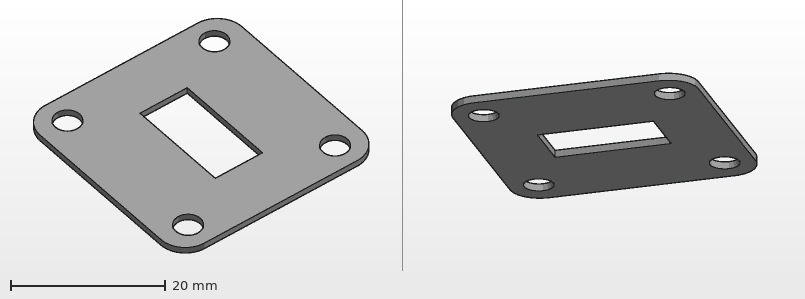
import cadquery as cq

plate_side = 33.3
plate_thickness = 1.0
corner_radius = 4.05

hole_diameter = 4.0
hole_spacing_x = 25.2
hole_spacing_y = 24.28

window_length = 15.72
window_width = 7.8

plate = (
    cq.Workplane("XY")
    .box(plate_side, plate_side, plate_thickness)
    .edges("|Z")
    .fillet(corner_radius)
)

plate_with_holes = (
    plate.faces(">Z")
    .workplane()
    .rect(hole_spacing_x, hole_spacing_y, forConstruction=True)
    .vertices()
    .hole(hole_diameter)
)

result = (
    plate_with_holes.faces(">Z")
    .workplane()
    .rect(window_length, window_width)
    .cutThruAll()
)